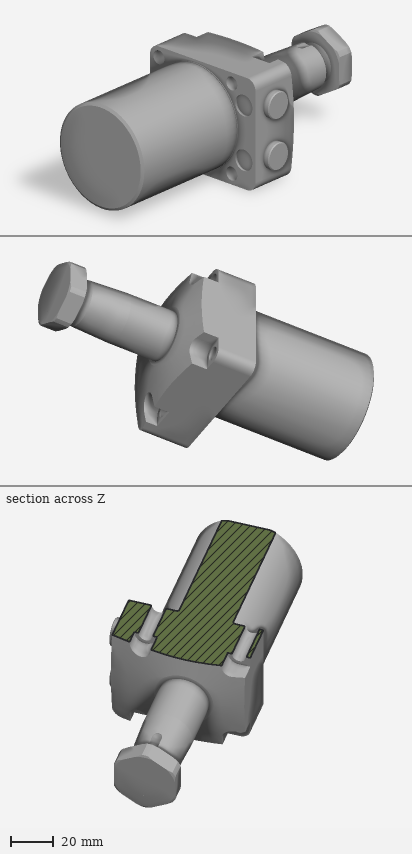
import cadquery as cq
import math

OVERALL_LENGTH = 158.5
OVERALL_WIDTH = 69.7

FLANGE_LEFT = 28.5
FLANGE_RIGHT = 37.9
FLANGE_HEIGHT = 57.0
FLANGE_CORNER_RADIUS = 5.0
FLANGE_TOP = 33.1
CONE_FLAT_RADIUS = 14.6
CONE_SLOPE = math.tan(math.radians(15))

BOLT_OFFSET = 23.0
BOLT_HOLE_RADIUS = 3.5
SPOTFACE_RADIUS = 5.5
SPOTFACE_LEVEL = 20.1

PORT_X = 30.6
PORT_Z = 14.0
PORT_RADIUS = 5.4
PORT_DEPTH = 1.3

BARREL_RADIUS = 26.6
BARREL_CHAMFER_LENGTH = 1.0
BARREL_CHAMFER_DEPTH = 1.5
COLLAR_RADIUS = 27.0
COLLAR_LENGTH = 0.5

PLUG_RADIUS = 7.0
PLUG_Y = 12.5
PLUG_Z = 13.0
PLUG_CHAMFER = 0.5

ROD_RADIUS = 12.5
TAPER_START = 58.3
TAPER_END = 78.5
TAPER_END_RADIUS = 11.5
STUD_RADIUS = 9.0

GROOVE_RADIUS = 2.5
GROOVE_START = 73.4

NUT_TOP = 92.5
NUT_ACROSS_FLATS = 30.1
NUT_CORNER_RADIUS = 16.6
NUT_THICKNESS = 9.0
NUT_CHAMFER_LENGTH = 0.5
NUT_CHAMFER_DEPTH = 1.1
NUT_COLLAR_LENGTH = 1.0
NUT_COLLAR_RADIUS = 10.0

flange_width = FLANGE_LEFT + FLANGE_RIGHT
flange_center_x = (FLANGE_RIGHT - FLANGE_LEFT) / 2
plug_length = OVERALL_WIDTH - flange_width
nut_bottom = NUT_TOP - NUT_THICKNESS
barrel_end = NUT_TOP - OVERALL_LENGTH
shoulder_end = TAPER_END + TAPER_END_RADIUS - STUD_RADIUS


def turned(profile):
    """Solid of revolution about the Y axis from (radius, y) points."""
    return cq.Workplane("XY").polyline(profile).close().revolve(360, (0, 0, 0), (0, 1, 0))


def rod_along_y(radius, x, z, start, end):
    """Cylinder parallel to Y between two levels."""
    base = cq.Vector(x, start, z)
    return cq.Workplane(cq.Solid.makeCylinder(radius, end - start, base, cq.Vector(0, 1, 0)))


def box_between(x_range, y_range, z_range):
    """Box from its lower and upper limit along each axis."""
    spans = [high - low for low, high in (x_range, y_range, z_range)]
    corner = cq.Vector(x_range[0], y_range[0], z_range[0])
    return cq.Workplane(cq.Solid.makeBox(*spans, corner))


def make_flange():
    """Rounded block whose +Y end is turned to a shallow cone."""
    block = (
        cq.Workplane("XY")
        .box(flange_width, FLANGE_TOP, FLANGE_HEIGHT)
        .translate((flange_center_x, FLANGE_TOP / 2, 0))
        .edges("|Y")
        .fillet(FLANGE_CORNER_RADIUS)
    )
    reach = math.hypot(FLANGE_RIGHT, FLANGE_HEIGHT / 2)
    rim_level = FLANGE_TOP - (reach - CONE_FLAT_RADIUS) * CONE_SLOPE
    envelope = turned(
        [(0, 0), (reach, 0), (reach, rim_level), (CONE_FLAT_RADIUS, FLANGE_TOP), (0, FLANGE_TOP)]
    )
    return block.intersect(envelope)


def spotface_cutter(x_side, z_side):
    """Spotface open to the +Z or -Z side; at the -X corners it is open to that side too."""
    x = x_side * BOLT_OFFSET
    z = z_side * BOLT_OFFSET
    levels = (SPOTFACE_LEVEL, FLANGE_TOP)
    z_edge = z_side * FLANGE_HEIGHT / 2
    cutter = rod_along_y(SPOTFACE_RADIUS, x, z, *levels)
    slot = (x - SPOTFACE_RADIUS, x + SPOTFACE_RADIUS)
    cutter = cutter.union(box_between(slot, levels, sorted((z, z_edge))))
    if x_side < 0:
        z_inner = z - z_side * SPOTFACE_RADIUS
        cutter = cutter.union(box_between((-FLANGE_LEFT, x), levels, sorted((z_inner, z_edge))))
    return cutter


def make_housing():
    """Flange and barrel in one piece, with mounting holes and port recesses."""
    barrel = turned(
        [
            (0, 0),
            (COLLAR_RADIUS, 0),
            (COLLAR_RADIUS, -COLLAR_LENGTH),
            (BARREL_RADIUS, -COLLAR_LENGTH),
            (BARREL_RADIUS, barrel_end + BARREL_CHAMFER_LENGTH),
            (BARREL_RADIUS - BARREL_CHAMFER_DEPTH, barrel_end),
            (0, barrel_end),
        ]
    )
    housing = make_flange().union(barrel)
    for z_side in (-1, 1):
        for x_side in (-1, 1):
            x = x_side * BOLT_OFFSET
            z = z_side * BOLT_OFFSET
            housing = housing.cut(rod_along_y(BOLT_HOLE_RADIUS, x, z, 0, FLANGE_TOP))
            housing = housing.cut(spotface_cutter(x_side, z_side))
        housing = housing.cut(rod_along_y(PORT_RADIUS, PORT_X, z_side * PORT_Z, 0, PORT_DEPTH))
    return housing


def make_plug(z):
    """Short round plug seated on the +X side of the flange."""
    return (
        cq.Workplane("YZ", origin=(FLANGE_RIGHT, PLUG_Y, z))
        .circle(PLUG_RADIUS)
        .extrude(plug_length)
        .faces(">X")
        .chamfer(PLUG_CHAMFER)
    )


def make_piston_rod():
    """Rod with a tapered end, a stud for the nut and a groove along the taper."""
    rod = turned(
        [
            (0, FLANGE_TOP),
            (ROD_RADIUS, FLANGE_TOP),
            (ROD_RADIUS, TAPER_START),
            (TAPER_END_RADIUS, TAPER_END),
            (STUD_RADIUS, shoulder_end),
            (STUD_RADIUS, NUT_TOP),
            (0, NUT_TOP),
        ]
    )
    groove = rod_along_y(GROOVE_RADIUS, 0, ROD_RADIUS, GROOVE_START, shoulder_end)
    groove_end = cq.Workplane("XY").sphere(GROOVE_RADIUS).translate((0, GROOVE_START, ROD_RADIUS))
    return rod.cut(groove).cut(groove_end)


def make_nut():
    """Hexagon nut with rounded corners and a short conical collar around the stud."""
    hexagon = (
        cq.Workplane("XZ", origin=(0, NUT_TOP, 0))
        .polygon(6, NUT_ACROSS_FLATS / math.cos(math.pi / 6))
        .extrude(NUT_THICKNESS)
        .rotate((0, 0, 0), (0, 1, 0), 30)
    )
    face_radius = NUT_CORNER_RADIUS - NUT_CHAMFER_DEPTH
    envelope = turned(
        [
            (0, nut_bottom),
            (face_radius, nut_bottom),
            (NUT_CORNER_RADIUS, nut_bottom + NUT_CHAMFER_LENGTH),
            (NUT_CORNER_RADIUS, NUT_TOP - NUT_CHAMFER_LENGTH),
            (face_radius, NUT_TOP),
            (0, NUT_TOP),
        ]
    )
    collar_start = nut_bottom - NUT_COLLAR_LENGTH
    collar = turned(
        [(0, collar_start), (STUD_RADIUS, collar_start), (NUT_COLLAR_RADIUS, nut_bottom), (0, nut_bottom)]
    )
    bore = rod_along_y(STUD_RADIUS, 0, 0, collar_start, NUT_TOP)
    return hexagon.intersect(envelope).union(collar).cut(bore)


housing = make_housing()
piston_rod = make_piston_rod()
nut = make_nut()
plugs = [make_plug(side * PLUG_Z) for side in (-1, 1)]

result = cq.Compound.makeCompound(
    [housing.val(), piston_rod.val(), nut.val(), *[plug.val() for plug in plugs]]
)